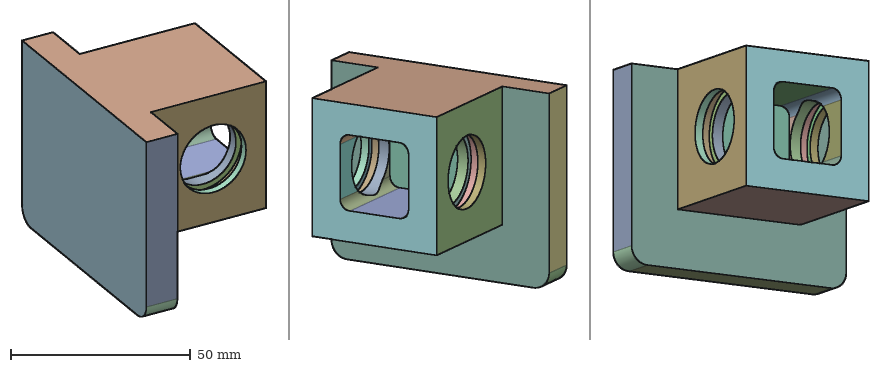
import cadquery as cq

plate_width = 69.9
plate_height = 56.9
plate_thickness = 10.0
corner_radius = 5.0

block_size = 40.0
overall_depth = 47.0
wall = 9.0
pocket_corner_radius = 3.0

bore_diameter = 21.1
groove_diameter = 24.5
groove_inset = 2.5
groove_width = 3.15

block_center_z = plate_height - block_size / 2
pocket_size = block_size - 2 * wall
pocket_front_y = plate_thickness + wall
bore_center_y = pocket_front_y + pocket_size / 2


def make_plate():
    """Plate with its two lower corners rounded."""
    plate = cq.Workplane("XY").box(
        plate_width, plate_thickness, plate_height, centered=(True, False, False)
    )
    return plate.faces("<Z").edges("|Y").fillet(corner_radius)


def square_bar(size, start_y):
    """Square bar along Y from start_y to the back of the part."""
    return (
        cq.Workplane("XY")
        .box(size, overall_depth - start_y, size, centered=(True, False, True))
        .translate((0, start_y, block_center_z))
    )


def cross_cylinder(diameter, start_x, length):
    """Cylinder along +X on the bore axis."""
    return (
        cq.Workplane("YZ", origin=(start_x, bore_center_y, block_center_z))
        .circle(diameter / 2)
        .extrude(length)
    )


block = square_bar(block_size, 0)
pocket = square_bar(pocket_size, pocket_front_y).edges("|Y").fillet(pocket_corner_radius)
bore = cross_cylinder(bore_diameter, -block_size / 2, block_size)

groove_start_x = -block_size / 2 + groove_inset
left_groove = cross_cylinder(groove_diameter, groove_start_x, groove_width)
right_groove = left_groove.mirror("YZ")

result = make_plate().union(block)
for cutter in (pocket, bore, left_groove, right_groove):
    result = result.cut(cutter)